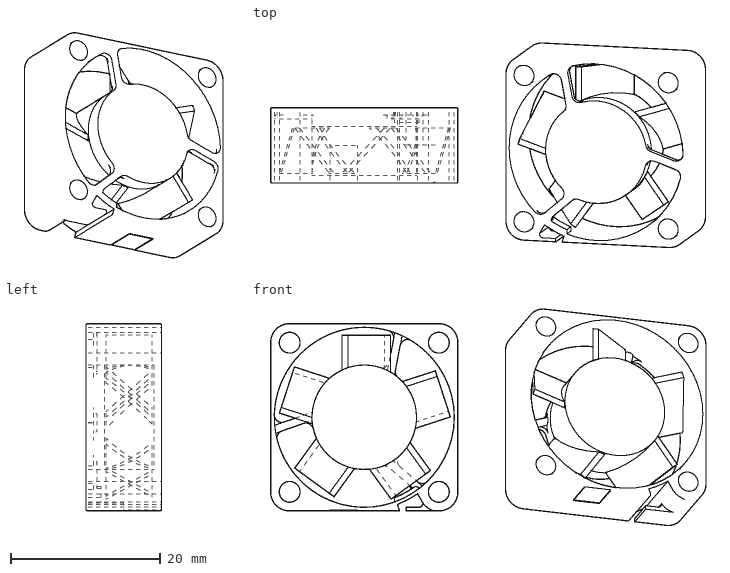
import cadquery as cq
import math


frame_width = 25.1
frame_depth = 10.12
half_width = frame_width / 2
corner_radius = 2.5
edge_radius = 0.2
bore_radius = 12.05
mount_offset = 10.0
mount_hole_radius = 1.38

hub_radius = 7.0
hub_front = 1.0
stator_depth = 2.5
hub_back = frame_depth - stator_depth
blade_count = 5
blade_front = 1.3
blade_back = 7.4
blade_tip = 11.0
blade_thickness = 0.8
blade_start = -2.99
blade_end = 3.55

strut_count = 3
strut_width = 1.05
strut_offset = 2.4
strut_angle = 79.2
strut_depth = 1.5
strut_web_depth = strut_depth - strut_width / 2
strut_corner_radius = 1.0

slot_wall_radius = 12.5
slot_left_angle = -69.1
slot_right_angle = -55.2
slot_mouth_left = 4.75
boss_radius = 2.6
boss_tangent_angle = 204.0
tab_left = 5.62
tab_right = 7.85
tab_thickness = 0.5
tab_depth = 5.02
tab_corner_radius = 0.55

recess_left = -4.57
recess_right = -0.9
recess_height = 0.1
recess_length = 5.02

ledge_radius = 11.5
ledge_depth = 2.0
ledge_left = 4.05
ledge_end_angle = -52.5
ledge_corner_radius = 0.4
wall_overlap = 0.25


def plane_at(depth):
    """XZ sketch plane at a distance behind the front face; negative extrusions go backwards."""
    return cq.Workplane("XZ", origin=(0, depth, 0))


def polar(radius, angle, centre=(0, 0)):
    """Point at an angle in degrees on a circle."""
    turn = math.radians(angle)
    return (centre[0] + radius * math.cos(turn), centre[1] + radius * math.sin(turn))


def disc(radius, front, back):
    """Cylinder about the fan axis between two depths."""
    return plane_at(front).circle(radius).extrude(front - back)


def frame_shell():
    """Rounded square block with softened outer edges, bored for the rotor and drilled."""
    block = plane_at(0).rect(frame_width, frame_width).extrude(-frame_depth)
    block = block.edges("|Y").fillet(corner_radius)
    block = block.faces("<Y or >Y").edges().fillet(edge_radius)
    holes = (
        plane_at(0)
        .rect(2 * mount_offset, 2 * mount_offset, forConstruction=True)
        .vertices()
        .circle(mount_hole_radius)
        .extrude(-frame_depth)
    )
    return block.cut(disc(bore_radius, 0, frame_depth)).cut(holes)


def cable_slot():
    """Cutter for the slot: open along the whole depth, with a retaining tab left at the back."""
    boss_centre = (mount_offset, -mount_offset)
    boss_drop = half_width - mount_offset
    boss_foot_angle = 180 + math.degrees(math.asin(boss_drop / boss_radius))
    slot = (
        plane_at(0)
        .moveTo(*polar(slot_wall_radius, slot_left_angle))
        .threePointArc(
            polar(slot_wall_radius, (slot_left_angle + slot_right_angle) / 2),
            polar(slot_wall_radius, slot_right_angle),
        )
        .lineTo(*polar(boss_radius, boss_tangent_angle, boss_centre))
        .threePointArc(
            polar(boss_radius, (boss_tangent_angle + boss_foot_angle) / 2, boss_centre),
            polar(boss_radius, boss_foot_angle, boss_centre),
        )
        .lineTo(slot_mouth_left, -half_width)
        .close()
        .extrude(-frame_depth)
    )
    tab_top = tab_thickness - half_width
    tab = (
        plane_at(frame_depth - tab_depth)
        .moveTo(tab_left, -half_width)
        .lineTo(tab_left, tab_top)
        .lineTo(tab_right - tab_corner_radius, tab_top)
        .radiusArc((tab_right, tab_top + tab_corner_radius), -tab_corner_radius)
        .lineTo(tab_right, -mount_offset)
        .lineTo(mount_offset, -mount_offset)
        .lineTo(mount_offset, -half_width)
        .close()
        .extrude(-tab_depth)
    )
    return slot.cut(tab)


def underside_recess():
    """Cutter for the shallow rectangular recess in the underside."""
    return (
        cq.Workplane("XY", origin=(recess_left, 0, -half_width))
        .box(recess_right - recess_left, recess_length, recess_height, centered=False)
    )


def bore_ledge():
    """Thickened stretch of bore wall at the back, with one rounded end."""
    front = frame_depth - ledge_depth
    outer_radius = bore_radius + wall_overlap
    left_angle = -math.degrees(math.acos(ledge_left / ledge_radius))
    outer_left = (ledge_left, -math.sqrt(outer_radius**2 - ledge_left**2))
    mid_angle = (left_angle + ledge_end_angle) / 2
    ledge = (
        plane_at(front)
        .moveTo(*polar(ledge_radius, left_angle))
        .threePointArc(polar(ledge_radius, mid_angle), polar(ledge_radius, ledge_end_angle))
        .lineTo(*polar(outer_radius, ledge_end_angle))
        .threePointArc(polar(outer_radius, mid_angle), outer_left)
        .close()
        .extrude(-ledge_depth)
    )
    corner_x, corner_z = polar(ledge_radius, ledge_end_angle)
    rounded_corner = cq.selectors.NearestToPointSelector((corner_x, front + ledge_depth / 2, corner_z))
    return ledge.edges("|Y").edges(rounded_corner).fillet(ledge_corner_radius)


def strut_side_point(radius, angle, offset):
    """Where a line along a strut, offset clockwise from the axis, crosses a circle."""
    return polar(radius, angle - math.degrees(math.asin(offset / radius)))


def strut_window(angle):
    """Cutter for the opening between the strut at this angle and the next one."""
    next_angle = angle + 360 / strut_count
    near_side = strut_offset - strut_width / 2
    far_side = strut_offset + strut_width / 2
    mid_angle = (angle + next_angle) / 2 - math.degrees(math.asin(strut_offset / bore_radius))
    window = (
        plane_at(frame_depth - strut_web_depth)
        .moveTo(*strut_side_point(hub_radius, angle, near_side))
        .lineTo(*strut_side_point(bore_radius, angle, near_side))
        .threePointArc(
            polar(bore_radius, mid_angle),
            strut_side_point(bore_radius, next_angle, far_side),
        )
        .lineTo(*strut_side_point(hub_radius, next_angle, far_side))
        .threePointArc(
            polar(hub_radius, mid_angle),
            strut_side_point(hub_radius, angle, near_side),
        )
        .close()
        .extrude(-strut_web_depth)
    )
    return window.edges("|Y").fillet(strut_corner_radius)


def strut_rod(angle):
    """Rounded front of a strut, running from inside the stator disc into the bore wall."""
    inner_end = hub_radius / 2
    outer_end = math.sqrt(bore_radius**2 - (strut_offset - strut_width / 2) ** 2)
    return (
        cq.Workplane("YZ", origin=(inner_end, 0, 0))
        .center(frame_depth - strut_web_depth, -strut_offset)
        .circle(strut_width / 2)
        .extrude(outer_end - inner_end)
        .rotate((0, 0, 0), (0, 1, 0), -angle)
    )


def stator():
    """Stator disc and its struts, closed off to the bore diameter."""
    spider = disc(bore_radius, frame_depth - strut_web_depth, frame_depth)
    strut_angles = [strut_angle + i * 360 / strut_count for i in range(strut_count)]
    for angle in strut_angles:
        spider = spider.cut(strut_window(angle))
    spider = spider.union(disc(hub_radius, hub_back, frame_depth))
    for angle in strut_angles:
        spider = spider.union(strut_rod(angle))
    return spider


def make_frame():
    """Frame with cable slot, underside recess, ledge, struts and stator disc."""
    shell = frame_shell().cut(cable_slot()).cut(underside_recess())
    return shell.union(stator()).union(bore_ledge())


def blade(angle):
    """Flat slanted blade, turned about the fan axis from its upright place."""
    return (
        cq.Workplane("XY")
        .polyline(
            [
                (blade_start, blade_front),
                (blade_start + blade_thickness, blade_front),
                (blade_end, blade_back),
                (blade_end - blade_thickness, blade_back),
            ]
        )
        .close()
        .extrude(blade_tip)
        .rotate((0, 0, 0), (0, 1, 0), angle)
    )


def make_rotor():
    """Hub with evenly spaced blades."""
    rotor = disc(hub_radius, hub_front, hub_back)
    for i in range(blade_count):
        rotor = rotor.union(blade(i * 360 / blade_count))
    return rotor


frame = make_frame()
rotor = make_rotor()

result = cq.Compound.makeCompound([frame.solids().val(), rotor.solids().val()])